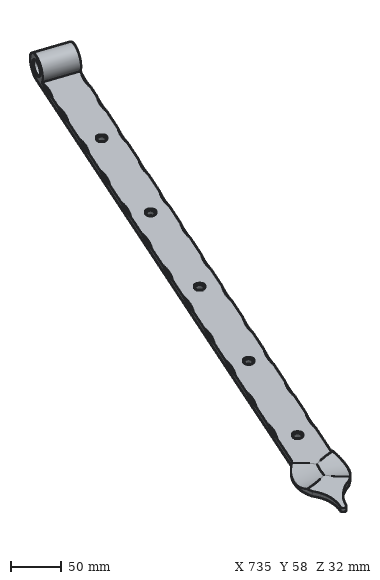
import cadquery as cq
import math

total_length = 735.0
thickness = 8.0
strap_width = 42.0

barrel_diameter = 32.0
pin_bore_diameter = 16.7
pin_bore_chamfer = 0.8

hole_diameter = 8.5
countersink_diameter = 11.5
countersink_angle = 90.0
hole_count = 5
first_hole_x = 130.5
hole_pitch = 122.0

first_mark_x = 44.0
regular_mark_x = 83.0
regular_mark_count = 11
mark_pitch = 52.0
mark_length = 26.0
mark_edge_inset = 1.8

head_width = 58.0
head_centre_x = 676.0
head_start_x = 652.5
neck_start_x = 701.0
neck_middle_x = 714.0
neck_middle_half_width = 7.9
tip_half_width = 3.2
tip_bulge = 2.0
tip_thickness = 5.5

scoop_radius = 50.0
scoop_ridge_depth = 0.9
scoop_edge_depth = 6.0

barrel_radius = barrel_diameter / 2
half_strap = strap_width / 2
half_head = head_width / 2
strap_to_head = half_head - half_strap
leaf_run = head_centre_x - head_start_x
leaf_radius = (leaf_run ** 2 + strap_to_head ** 2) / (2 * strap_to_head)
tip_corner_x = total_length - tip_bulge


def leaf_half_width(x):
    """Half width of the leaf's round side at station x."""
    return half_head - leaf_radius + math.sqrt(leaf_radius ** 2 - (x - head_centre_x) ** 2)


def make_barrel():
    return (
        cq.Workplane("XZ")
        .center(barrel_radius, barrel_radius)
        .circle(barrel_radius)
        .extrude(half_strap, both=True)
    )


def make_plate():
    """Strap and leaf-shaped head as one flat plate, starting below the barrel centre."""
    neck_start_half_width = leaf_half_width(neck_start_x)
    return (
        cq.Workplane("XY")
        .moveTo(barrel_radius, -half_strap)
        .lineTo(head_start_x, -half_strap)
        .threePointArc((head_centre_x, -half_head), (neck_start_x, -neck_start_half_width))
        .threePointArc((neck_middle_x, -neck_middle_half_width), (tip_corner_x, -tip_half_width))
        .threePointArc((total_length, 0), (tip_corner_x, tip_half_width))
        .threePointArc((neck_middle_x, neck_middle_half_width), (neck_start_x, neck_start_half_width))
        .threePointArc((head_centre_x, half_head), (head_start_x, half_strap))
        .lineTo(barrel_radius, half_strap)
        .close()
        .extrude(thickness)
    )


def make_tip_slope():
    """Wedge that removes the material above the sloping top face of the tip."""
    return (
        cq.Workplane("XZ")
        .moveTo(head_centre_x, thickness)
        .lineTo(total_length, tip_thickness)
        .lineTo(total_length, thickness)
        .close()
        .extrude(half_head, both=True)
    )


def make_scoop():
    """Cylinder sloping down and outwards over the +Y half of the head."""
    slope = math.atan2(scoop_edge_depth - scoop_ridge_depth, half_head)
    axis = cq.Vector(0, math.cos(slope), -math.sin(slope))
    axis_height = thickness - scoop_ridge_depth + scoop_radius / math.cos(slope)
    centre = cq.Vector(head_centre_x, 0, axis_height)
    reach = head_width
    cylinder = cq.Solid.makeCylinder(scoop_radius, 2 * reach, centre - axis * reach, axis)
    half_space = (
        cq.Workplane("XY")
        .box(2 * scoop_radius, reach, 4 * scoop_radius, centered=(True, False, True))
        .translate((head_centre_x, 0, 0))
    )
    return half_space.intersect(cq.Workplane(obj=cylinder))


def make_hammer_mark(x):
    """Cylinder across the +Y upper edge, at 45 degrees to the top and side faces."""
    depth = mark_edge_inset / math.sqrt(2)
    radius = ((mark_length / 2) ** 2 + depth ** 2) / (2 * depth)
    outward = cq.Vector(0, 1, 1).normalized()
    along = cq.Vector(0, 1, -1).normalized()
    edge_point = cq.Vector(x, half_strap, thickness)
    centre = edge_point + outward * (radius - depth)
    reach = 2 * mark_edge_inset
    cylinder = cq.Solid.makeCylinder(radius, 2 * reach, centre - along * reach, along)
    return cq.Workplane(obj=cylinder)


def cut_both_sides(body, cutter):
    return body.cut(cutter).cut(cutter.mirror("XZ"))


def cut_screw_holes(body):
    centres = [(first_hole_x + i * hole_pitch, 0) for i in range(hole_count)]
    return (
        body.copyWorkplane(cq.Workplane("XY", origin=(0, 0, thickness)))
        .pushPoints(centres)
        .cskHole(hole_diameter, countersink_diameter, countersink_angle)
    )


def make_pin_bore():
    """Bore cutter, widened at both barrel ends to leave a small chamfer."""
    bore_radius = pin_bore_diameter / 2
    mouth_radius = bore_radius + pin_bore_chamfer
    chamfer_start = half_strap - pin_bore_chamfer
    return (
        cq.Workplane("XY")
        .moveTo(0, -half_strap)
        .lineTo(mouth_radius, -half_strap)
        .lineTo(bore_radius, -chamfer_start)
        .lineTo(bore_radius, chamfer_start)
        .lineTo(mouth_radius, half_strap)
        .lineTo(0, half_strap)
        .close()
        .revolve(360, (0, 0, 0), (0, 1, 0))
        .translate((barrel_radius, 0, barrel_radius))
    )


plate = make_plate().cut(make_tip_slope())
plate = cut_both_sides(plate, make_scoop())

mark_stations = [first_mark_x]
mark_stations += [regular_mark_x + i * mark_pitch for i in range(regular_mark_count)]
for station in mark_stations:
    plate = cut_both_sides(plate, make_hammer_mark(station))

plate = cut_screw_holes(plate)
result = plate.union(make_barrel()).cut(make_pin_bore())